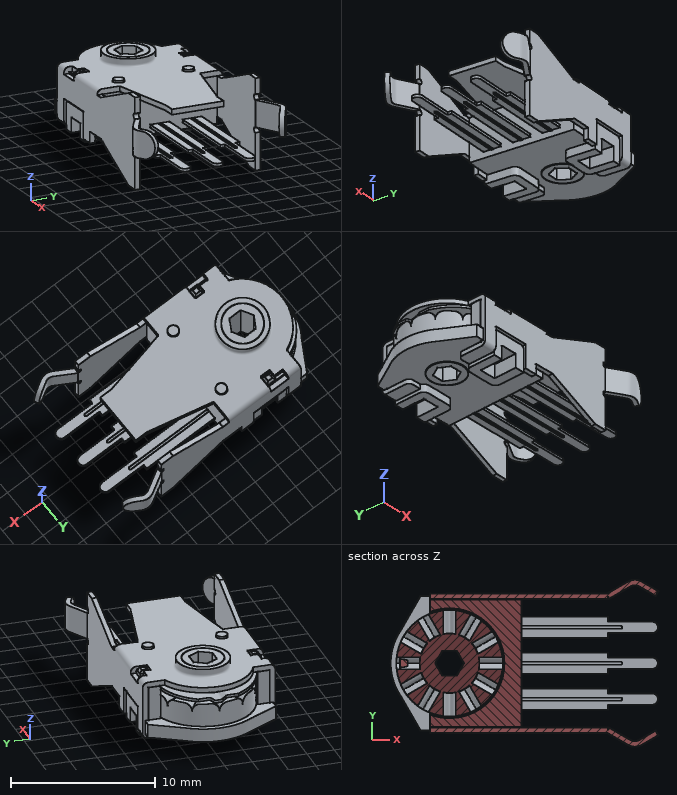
import cadquery as cq
import math


SIDES = (-1, 1)
GAP = 0.025

SHEET = 0.4
PLATE_TOP = 3.92
PLATE_UNDER = PLATE_TOP - SHEET
HALF_WIDTH = 4.85
INNER_HALF_WIDTH = HALF_WIDTH - SHEET
FRONT_X = -1.345
REAR_X = 5.0
WALL_END_X = 11.0
NOSE_RADIUS = 3.5
FULL_ROUND = 0.999

TONGUE_ROOT_HALF = 3.1
TONGUE_TIP_HALF = 2.0
TONGUE_TAPER_END_X = 10.0

WALL_BOTTOM = -0.39
WALL_STEP_X = 3.87
WALL_STEP_Z = 0.49
FLARE_START_X = 5.56
FLARE_END_X = 9.95
FLARE_TOP = 5.22
FLARE_BOTTOM = -1.58

COLLAR_TOP = 4.54
COLLAR_RADIUS = 3.8 / 2
COLLAR_BORE_RADIUS = 3.0 / 2
COLLAR_FILLET = 0.2

ARM_BOTTOM = 1.61
ARM_TOP = 3.63
ARM_ANGLE = math.radians(30)
ARM_BEND_RADIUS = 1.0
ARM_APEX_X = 12.86
ARM_APEX_Y = 5.8
ARM_END_X = 14.5
ARM_TIP_RADIUS = 1.0
RELIEF_RADIUS = 0.2
RELIEF_DEPTH = 0.24

FOOT_X0 = -0.21
FOOT_X1 = 2.8
FOOT_OUTER_Y = 4.68
FOOT_INNER_Y = 1.96
FOOT_BOTTOM = -0.67
FOOT_TOP = 1.51
FOOT_TOP_FILLET = 0.3
FOOT_CORNER_RADIUS = 0.5
FOOT_NOTCH_X0 = 0.56
FOOT_NOTCH_X1 = 1.97
FOOT_NOTCH_DEPTH = 2.0
WINDOW_TOP = 1.61

TAB_INNER_Y = 2.31
TAB_END_X = FOOT_X0 - GAP
TAB_CORNER_RADIUS = 0.4

HOOK_X0 = 0.5
HOOK_X1 = 1.3
HOOK_INNER_Y = 3.66
HOOK_SHOULDER = 3.7
HOOK_TIP = 3.9
HOOK_TIP_SCALE = 0.5
BEND_NOTCH_X0 = -0.24
BEND_NOTCH_INNER_Y = 4.2
BEND_NOTCH_BOTTOM = 3.41

PEG_X = 4.0
PEG_Y = 2.7
PEG_RADIUS = 0.8 / 2
PEG_HOLE_RADIUS = 0.85 / 2
PEG_TOP = 4.07

FLOOR_TOP = 1.01
BASE_HALF_WIDTH = INNER_HALF_WIDTH - GAP
FLANGE_NOSE_RADIUS = 4.1
FLANGE_ARC_HALF = 2.38
FLANGE_CORNER_X = -2.02
POCKET_RADIUS = 3.8

DISC_RADIUS = 7.4 / 2
DISC_TOP = 2.745
HUB_RADIUS = 4.15 / 2
HUB_TOP = PLATE_UNDER - GAP
SHAFT_RADIUS = 2.95 / 2
SHAFT_BOTTOM = -0.05
HEX_ACROSS_CORNERS = 1.98
NOTCH_COUNT = 12
NOTCH_ARC_RADIUS = 0.6

SPRING_THICKNESS = 0.2
SPRING_OUTER_RADIUS = 3.74
SPRING_INNER_RADIUS = 2.45
SPRING_FRONT_X = -3.44
SPRING_BEND_X = 0.2
SPRING_DROP = 0.38
BUMP_DEPTH = 0.28
BUMP_TOP_HALF = 0.6
BUMP_TIP_HALF = 0.25
BUMP_FILLET = 0.2

TERMINAL_PITCH = 2.49
TERMINAL_BOTTOM = 0.5
TERMINAL_THICKNESS = 0.23
TERMINAL_HALF_WIDTH = 0.74
PIN_HALF_WIDTH = 0.4
TERMINAL_INSET = 1.0
PIN_END_X = 14.47
BEAD_WIDTH = 0.2
BEAD_DEPTH = 0.05
BEAD_END_X = 11.98


def box(x0, x1, y0, y1, z0, z1):
    """Box between two corners."""
    return cq.Workplane("XY").box(x1 - x0, y1 - y0, z1 - z0, centered=False).translate((x0, y0, z0))


def side_box(side, x0, x1, y0, y1, z0, z1):
    """Box given for the +Y side, placed on the chosen side."""
    lower, upper = sorted((side * y0, side * y1))
    return box(x0, x1, lower, upper, z0, z1)


def cylinder(radius, z0, z1, x=0, y=0):
    return cq.Workplane("XY", origin=(x, y, z0)).circle(radius).extrude(z1 - z0)


def housing_plate():
    """Top plate with a round nose, bent side edges and a tapering tongue."""
    body = box(FRONT_X, REAR_X, -HALF_WIDTH, HALF_WIDTH, PLATE_UNDER, PLATE_TOP)
    body = body.edges("|X and >Z").fillet(SHEET * FULL_ROUND)
    nose = cylinder(NOSE_RADIUS, PLATE_UNDER, PLATE_TOP)
    tongue_half = [
        (REAR_X, TONGUE_ROOT_HALF),
        (TONGUE_TAPER_END_X, TONGUE_TIP_HALF),
        (WALL_END_X, TONGUE_TIP_HALF),
    ]
    outline = tongue_half + [(x, -y) for x, y in reversed(tongue_half)]
    tongue = cq.Workplane("XY", origin=(0, 0, PLATE_UNDER)).polyline(outline).close().extrude(SHEET)
    return body.union(nose).union(tongue)


def housing_wall(side):
    """Flat side wall that flares towards the rear, with a window for the foot of the base."""
    outline = [
        (FRONT_X, PLATE_UNDER),
        (FLARE_START_X, PLATE_UNDER),
        (FLARE_END_X, FLARE_TOP),
        (WALL_END_X, FLARE_TOP),
        (WALL_END_X, FLARE_BOTTOM),
        (FLARE_END_X, FLARE_BOTTOM),
        (FLARE_START_X, WALL_STEP_Z),
        (WALL_STEP_X, WALL_STEP_Z),
        (WALL_STEP_X, WALL_BOTTOM),
        (TAB_END_X, WALL_BOTTOM),
        (TAB_END_X, 0),
        (FRONT_X, 0),
    ]
    outer_face = max(side * HALF_WIDTH, side * INNER_HALF_WIDTH)
    wall = cq.Workplane("XZ", origin=(0, outer_face, 0)).polyline(outline).close().extrude(SHEET)
    window = side_box(
        side, FOOT_X0 - GAP, FOOT_X1 + GAP, INNER_HALF_WIDTH, HALF_WIDTH, WALL_BOTTOM, WINDOW_TOP
    )
    relief_x = WALL_END_X - RELIEF_DEPTH + RELIEF_RADIUS
    for z in (ARM_BOTTOM - RELIEF_RADIUS, ARM_TOP + RELIEF_RADIUS):
        relief = (
            cq.Workplane("XZ", origin=(0, outer_face, 0))
            .center(relief_x, z)
            .circle(RELIEF_RADIUS)
            .extrude(SHEET)
        )
        wall = wall.cut(relief)
    return wall.cut(window)


def housing_tab(side):
    """Front tab folded inwards under the base."""
    tab = side_box(side, FRONT_X, TAB_END_X, TAB_INNER_Y, HALF_WIDTH, WALL_BOTTOM, 0)
    outer, inner = (">Y", "<Y") if side > 0 else ("<Y", ">Y")
    tab = tab.edges(f"|Z and {inner} and <X").fillet(TAB_CORNER_RADIUS)
    return tab.edges(f"|X and <Z and {outer}").fillet(-WALL_BOTTOM * FULL_ROUND)


def spring_arm(side):
    """Latch arm: slopes outwards, turns over a rounded apex and slopes back to a round tip."""
    sine = math.sin(ARM_ANGLE)
    cosine = math.cos(ARM_ANGLE)
    slope = math.tan(ARM_ANGLE)
    centre_y = ARM_APEX_Y - ARM_BEND_RADIUS
    inner_radius = ARM_BEND_RADIUS - SHEET

    def on_bend(radius, direction):
        return (ARM_APEX_X + direction * radius * sine, centre_y + radius * cosine)

    outer_rise = on_bend(ARM_BEND_RADIUS, -1)
    outer_fall = on_bend(ARM_BEND_RADIUS, 1)
    inner_rise = on_bend(inner_radius, -1)
    inner_fall = on_bend(inner_radius, 1)
    outer_root = (outer_rise[0] - (outer_rise[1] - HALF_WIDTH) / slope, HALF_WIDTH)
    inner_root = (inner_rise[0] - (inner_rise[1] - INNER_HALF_WIDTH) / slope, INNER_HALF_WIDTH)
    outer_end = (ARM_END_X, outer_fall[1] - (ARM_END_X - outer_fall[0]) * slope)
    inner_end = (outer_end[0] - SHEET * sine, outer_end[1] - SHEET * cosine)
    arm = (
        cq.Workplane("XY", origin=(0, 0, ARM_BOTTOM))
        .moveTo(*outer_root)
        .lineTo(*outer_rise)
        .threePointArc((ARM_APEX_X, ARM_APEX_Y), outer_fall)
        .lineTo(*outer_end)
        .lineTo(*inner_end)
        .lineTo(*inner_fall)
        .threePointArc((ARM_APEX_X, centre_y + inner_radius), inner_rise)
        .lineTo(*inner_root)
        .close()
        .extrude(ARM_TOP - ARM_BOTTOM)
    )
    arm = arm.edges(cq.selectors.ParallelDirSelector(cq.Vector(sine, cosine, 0))).fillet(ARM_TIP_RADIUS)
    return arm if side > 0 else arm.mirror("XZ")


def collar():
    """Drawn collar with a concave fillet at its foot."""
    foot_radius = COLLAR_RADIUS + COLLAR_FILLET
    fillet_offset = COLLAR_FILLET * (1 - math.sqrt(0.5))
    return (
        cq.Workplane("XZ")
        .moveTo(0, PLATE_UNDER)
        .lineTo(foot_radius, PLATE_UNDER)
        .lineTo(foot_radius, PLATE_TOP)
        .threePointArc(
            (COLLAR_RADIUS + fillet_offset, PLATE_TOP + fillet_offset),
            (COLLAR_RADIUS, PLATE_TOP + COLLAR_FILLET),
        )
        .lineTo(COLLAR_RADIUS, COLLAR_TOP)
        .lineTo(0, COLLAR_TOP)
        .close()
        .revolve(360, (0, 0), (0, 1))
    )


def make_housing():
    housing = housing_plate().union(collar())
    for side in SIDES:
        housing = housing.union(housing_wall(side))
        housing = housing.union(housing_tab(side))
        housing = housing.union(spring_arm(side))
    housing = housing.cut(cylinder(COLLAR_BORE_RADIUS, PLATE_UNDER, COLLAR_TOP))
    for side in SIDES:
        peg_hole = cylinder(PEG_HOLE_RADIUS, PLATE_UNDER, PLATE_TOP, PEG_X, side * PEG_Y)
        hook_hole = side_box(
            side, HOOK_X0, HOOK_X1, HOOK_INNER_Y, INNER_HALF_WIDTH, PLATE_UNDER, PLATE_TOP
        )
        bend_notch = side_box(
            side, BEND_NOTCH_X0, HOOK_X1, BEND_NOTCH_INNER_Y, HALF_WIDTH, BEND_NOTCH_BOTTOM, PLATE_TOP
        )
        housing = housing.cut(peg_hole).cut(hook_hole).cut(bend_notch)
    return housing


def base_flange():
    """Front flange of the floor: round nose and two straight slanted sides."""
    arc_end_x = -math.sqrt(FLANGE_NOSE_RADIUS**2 - FLANGE_ARC_HALF**2)
    flange_rear_x = FRONT_X - GAP
    return (
        cq.Workplane("XY")
        .moveTo(arc_end_x, -FLANGE_ARC_HALF)
        .threePointArc((-FLANGE_NOSE_RADIUS, 0), (arc_end_x, FLANGE_ARC_HALF))
        .lineTo(FLANGE_CORNER_X, FOOT_OUTER_Y)
        .lineTo(flange_rear_x, FOOT_OUTER_Y)
        .lineTo(flange_rear_x, -FOOT_OUTER_Y)
        .lineTo(FLANGE_CORNER_X, -FOOT_OUTER_Y)
        .close()
        .extrude(FLOOR_TOP)
    )


def base_foot(side):
    """Notched foot that fills the side window and stands below the floor."""
    foot = side_box(side, FOOT_X0, FOOT_X1, FOOT_INNER_Y, FOOT_OUTER_Y, FOOT_BOTTOM, 0)
    inner = "<Y" if side > 0 else ">Y"
    foot = foot.edges(f"|Z and {inner}").fillet(FOOT_CORNER_RADIUS)
    block = side_box(side, FOOT_X0, FOOT_X1, BASE_HALF_WIDTH, FOOT_OUTER_Y, FOOT_BOTTOM, FOOT_TOP)
    block = block.edges("|Y and >Z").fillet(FOOT_TOP_FILLET)
    return foot.union(block)


def base_hook(side):
    """Snap hook with a pyramid tip."""
    outer_y = BASE_HALF_WIDTH
    width = HOOK_X1 - HOOK_X0 - 2 * GAP
    depth = outer_y - HOOK_INNER_Y - GAP
    centre_x = (HOOK_X0 + HOOK_X1) / 2
    centre_y = side * (outer_y - depth / 2)
    post = (
        cq.Workplane("XY", origin=(centre_x, centre_y, PLATE_UNDER))
        .rect(width, depth)
        .extrude(HOOK_SHOULDER - PLATE_UNDER)
    )
    tip = (
        cq.Workplane("XY", origin=(centre_x, centre_y, HOOK_SHOULDER))
        .rect(width, depth)
        .workplane(offset=HOOK_TIP - HOOK_SHOULDER)
        .rect(width * HOOK_TIP_SCALE, depth * HOOK_TIP_SCALE)
        .loft(ruled=True)
    )
    return post.union(tip)


def make_base(terminals):
    base = box(FRONT_X - GAP, REAR_X, -BASE_HALF_WIDTH, BASE_HALF_WIDTH, 0, PLATE_UNDER)
    base = base.cut(cylinder(POCKET_RADIUS, FLOOR_TOP, PLATE_UNDER)).union(base_flange())
    for side in SIDES:
        base = base.union(base_foot(side)).union(base_hook(side))
        base = base.union(cylinder(PEG_RADIUS, FLOOR_TOP, PEG_TOP, PEG_X, side * PEG_Y))
        base = base.cut(
            side_box(
                side, FOOT_NOTCH_X0, FOOT_NOTCH_X1, FOOT_OUTER_Y - FOOT_NOTCH_DEPTH,
                FOOT_OUTER_Y, FOOT_BOTTOM, WALL_STEP_Z,
            )
        )
    base = base.cut(cylinder(COLLAR_BORE_RADIUS, 0, FLOOR_TOP))
    for terminal in terminals:
        base = base.cut(terminal)
    return base


def detent_notch():
    """Radial groove between two convex quarter rounds, pointing towards -X."""
    radius = NOTCH_ARC_RADIUS
    bottom = DISC_TOP - radius
    arc_mid_y = radius * (1 - math.sqrt(0.5))
    arc_mid_z = bottom + radius * math.sqrt(0.5)
    return (
        cq.Workplane("YZ", origin=(-DISC_RADIUS, 0, 0))
        .moveTo(-radius, DISC_TOP)
        .threePointArc((-arc_mid_y, arc_mid_z), (0, bottom))
        .threePointArc((arc_mid_y, arc_mid_z), (radius, DISC_TOP))
        .close()
        .extrude(DISC_RADIUS)
    )


def make_rotor():
    disc = cylinder(DISC_RADIUS, FLOOR_TOP, DISC_TOP)
    notch = detent_notch()
    for index in range(NOTCH_COUNT):
        disc = disc.cut(notch.rotate((0, 0, 0), (0, 0, 1), index * 360 / NOTCH_COUNT))
    hub = cylinder(HUB_RADIUS, FLOOR_TOP, HUB_TOP)
    shaft = cylinder(SHAFT_RADIUS, SHAFT_BOTTOM, COLLAR_TOP)
    hex_hole = (
        cq.Workplane("XY", origin=(0, 0, SHAFT_BOTTOM))
        .polygon(6, HEX_ACROSS_CORNERS)
        .extrude(COLLAR_TOP - SHAFT_BOTTOM)
    )
    return disc.union(hub).union(shaft).cut(hex_hole)


def make_spring():
    """Ring lying under the plate, its front half bent down to a bump that rests in a detent notch."""
    top = PLATE_UNDER
    under = top - SPRING_THICKNESS
    reach = SPRING_OUTER_RADIUS
    strip = [
        (-reach, top),
        (-BUMP_TOP_HALF, top),
        (-BUMP_TIP_HALF, top - BUMP_DEPTH),
        (BUMP_TIP_HALF, top - BUMP_DEPTH),
        (BUMP_TOP_HALF, top),
        (reach, top),
        (reach, under),
        (BUMP_TOP_HALF, under),
        (BUMP_TIP_HALF, under - BUMP_DEPTH),
        (-BUMP_TIP_HALF, under - BUMP_DEPTH),
        (-BUMP_TOP_HALF, under),
        (-reach, under),
    ]
    bend_to_front = SPRING_BEND_X - SPRING_FRONT_X
    tilt = math.degrees(math.atan(SPRING_DROP / bend_to_front))
    bump_edges = cq.selectors.BoxSelector(
        (-2 * reach, -BUMP_TOP_HALF - GAP, 0), (reach, BUMP_TOP_HALF + GAP, PLATE_TOP)
    ) & cq.selectors.ParallelDirSelector(cq.Vector(1, 0, 0))
    front = (
        cq.Workplane("YZ", origin=(SPRING_BEND_X, 0, 0))
        .polyline(strip)
        .close()
        .extrude(-2 * reach)
        .edges(bump_edges)
        .fillet(BUMP_FILLET)
        .rotate((SPRING_BEND_X, 0, top), (SPRING_BEND_X, 1, top), -tilt)
    )
    rear = box(SPRING_BEND_X, reach, -reach, reach, under, top)
    lowest = under - SPRING_DROP - BUMP_DEPTH - SPRING_THICKNESS
    ring = cylinder(SPRING_OUTER_RADIUS, lowest, top).cut(cylinder(SPRING_INNER_RADIUS, lowest, top))
    ring = ring.intersect(box(SPRING_FRONT_X, reach, -reach, reach, lowest, top))
    return front.union(rear).intersect(ring)


def make_terminal(y):
    """Flat terminal: wide shank, narrow round-ended pin and a pressed stiffening bead."""
    top = TERMINAL_BOTTOM + TERMINAL_THICKNESS
    start_x = REAR_X - TERMINAL_INSET
    shank = box(
        start_x, WALL_END_X, y - TERMINAL_HALF_WIDTH, y + TERMINAL_HALF_WIDTH, TERMINAL_BOTTOM, top
    )
    tip_x = PIN_END_X - PIN_HALF_WIDTH
    pin = box(WALL_END_X, tip_x, y - PIN_HALF_WIDTH, y + PIN_HALF_WIDTH, TERMINAL_BOTTOM, top)
    tip = cylinder(PIN_HALF_WIDTH, TERMINAL_BOTTOM, top, tip_x, y)

    def bead(z0):
        half = BEAD_WIDTH / 2
        straight = box(REAR_X, BEAD_END_X - half, y - half, y + half, z0, z0 + BEAD_DEPTH)
        return straight.union(cylinder(half, z0, z0 + BEAD_DEPTH, BEAD_END_X - half, y))

    ridge = bead(TERMINAL_BOTTOM - BEAD_DEPTH)
    groove = bead(top - BEAD_DEPTH)
    return shank.union(pin).union(tip).union(ridge).cut(groove)


housing = make_housing()
terminals = [make_terminal(row * TERMINAL_PITCH) for row in (-1, 0, 1)]
base = make_base(terminals)
rotor = make_rotor()
spring = make_spring()

result = cq.Compound.makeCompound(
    [housing.val(), base.val(), rotor.val(), spring.val(), *[terminal.val() for terminal in terminals]]
)